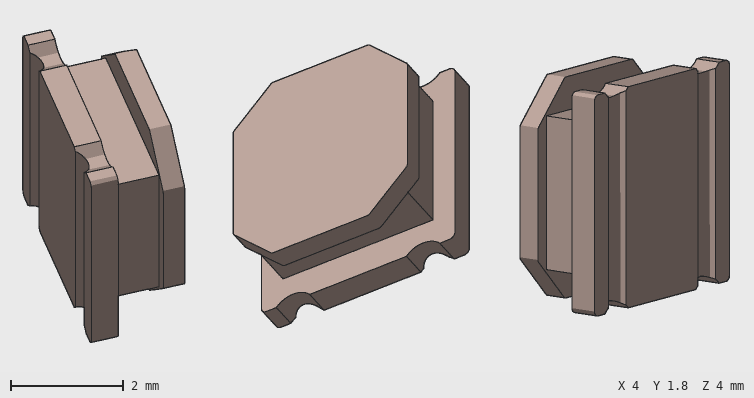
import cadquery as cq

height = 4.0
base_width = 4.0
base_thickness = 0.5
base_corner_radius = 0.11
core_width = 3.1
core_height = 2.78
core_length = 0.9
cap_width = 3.6
cap_thickness = 0.4
cap_chamfer = 0.8
cap_edge_radius = 0.08

notch_offset = 1.345
notch_opening = 0.69
notch_depth = 0.16
groove_offset = 1.32
groove_opening = 0.52
groove_depth = 0.16

front_y = -(base_thickness + core_length + cap_thickness) / 2
core_front_y = front_y + base_thickness
core_back_y = core_front_y + core_length


def slab(width, slab_height, thickness, y_start):
    """Rectangular plate centred in X and Z, growing toward +Y from y_start."""
    return cq.Workplane("XY").box(width, thickness, slab_height).translate((0, y_start + thickness / 2, 0))


def arc_radius(opening, depth):
    """Radius of the circle that cuts a recess of this opening and depth into a flat face."""
    return ((opening / 2) ** 2 + depth**2) / (2 * depth)


def edge_notches():
    """Cylinders along Y that scallop the top and bottom edges of the front flange."""
    radius = arc_radius(notch_opening, notch_depth)
    axis_z = height / 2 - notch_depth + radius
    centres = [(x, z) for x in (-notch_offset, notch_offset) for z in (-axis_z, axis_z)]
    plane = cq.Workplane("XZ", origin=(0, core_front_y, 0))
    return plane.pushPoints(centres).circle(radius).extrude(base_thickness)


def face_grooves():
    """Cylinders along Z that groove the front face over its full height."""
    radius = arc_radius(groove_opening, groove_depth)
    axis_y = front_y + groove_depth - radius
    centres = [(x, axis_y) for x in (-groove_offset, groove_offset)]
    plane = cq.Workplane("XY", origin=(0, 0, -height / 2))
    return plane.pushPoints(centres).circle(radius).extrude(height)


base = slab(base_width, height, base_thickness, front_y)
base = base.edges("|Y").fillet(base_corner_radius)
base = base.cut(edge_notches()).cut(face_grooves())

core = slab(core_width, core_height, core_length, core_front_y)

cap = slab(cap_width, height, cap_thickness, core_back_y)
cap = cap.edges("|Y").chamfer(cap_chamfer)
cap = cap.edges("|Y").fillet(cap_edge_radius)

result = base.union(core).union(cap)